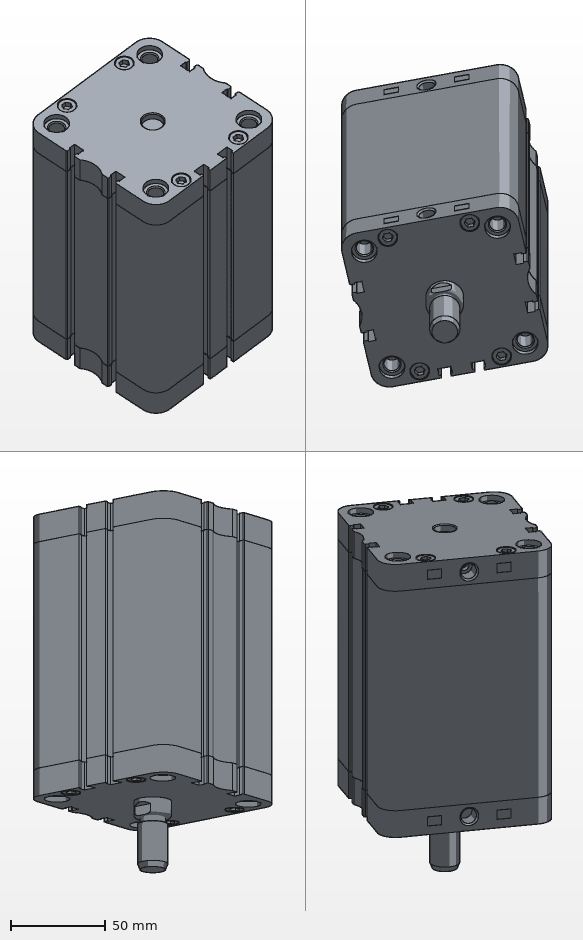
import cadquery as cq
import math

TOTAL_LENGTH = 191.0
BODY_WIDTH = 95.5
BODY_LENGTH = 153.8
CAP_LENGTH = 15.0
CORNER_RADIUS = 10.0
HALF_WIDTH = BODY_WIDTH / 2
BARREL_LENGTH = BODY_LENGTH - 2 * CAP_LENGTH

Y_SLOT_SPACING = 30.0
Y_SLOT_NECK = 5.0
Y_SLOT_WIDTH = 6.5
Y_SLOT_DEPTH = 6.7
Y_SLOT_MOUTH_CHAMFER = 0.5
BARREL_Y_SLOT_LIP = 3.0
CAP_Y_SLOT_LIP = 2.7

X_SLOT_SPACING = 18.0
X_SLOT_NECK = 5.2
X_SLOT_DEPTH = 5.7
BARREL_X_SLOT_WIDTH = 6.5
BARREL_X_SLOT_LIP = 2.0
BARREL_X_SLOT_CORNER_RADIUS = 1.1
CAP_X_SLOT_WIDTH = 7.3
CAP_X_SLOT_LIP = 1.7

CAP_FLUTE_CHORD = 16.0
BARREL_FLUTE_CHORD = 16.8
FLUTE_DEPTH = 2.7
BARREL_FLUTE_EDGE_RADIUS = 1.0

MOUNT_SPACING = 72.0
MOUNT_COUNTERBORE_DIAMETER = 13.5
MOUNT_COUNTERBORE_DEPTH = 3.0
MOUNT_CHAMFER_DIAMETER = 9.7
MOUNT_HOLE_DIAMETER = 8.4
MOUNT_CHAMFER = (MOUNT_CHAMFER_DIAMETER - MOUNT_HOLE_DIAMETER) / 2

BOLT_SPACING_X = 82.9
BOLT_SPACING_Y = 44.3
BOLT_RECESS_DIAMETER = 10.3
BOLT_HEAD_DIAMETER = 9.7
BOLT_HEAD_DROP = 0.4
BOLT_RECESS_DEPTH = 1.5
BOLT_SOCKET_ACROSS_FLATS = 5.0
BOLT_SOCKET_DEPTH = 2.9

CENTRE_HOLE_DIAMETER = 12.0
CENTRE_HOLE_DEPTH = 4.0
CENTRE_HOLE_CHAMFER = 0.5

PORT_DIAMETER = 8.4
PORT_MOUTH_DIAMETER = 10.3
PORT_CHAMFER = (PORT_MOUTH_DIAMETER - PORT_DIAMETER) / 2
PORT_DEPTH = 9.5
PORT_INSET = 8.0
PORT_BLEED_DIAMETER = 5.0
PORT_BLEED_DEPTH = 3.8

PANEL_SPACING = 38.2
PANEL_WIDTH = 7.8
PANEL_HEIGHT = 5.2
PANEL_DEPTH = 0.2
PANEL_INSET = 7.5

ROD_DIAMETER = 20.0
ROD_SHOULDER_LENGTH = 9.0
ROD_SHOULDER_FILLET = 1.7
ROD_NECK_DIAMETER = 13.5
ROD_NECK_LENGTH = 3.5
ROD_NECK_FILLET = 0.4
ROD_THREAD_DIAMETER = 16.0
ROD_TIP_DIAMETER = 13.5
ROD_TIP_LENGTH = 3.0
ROD_LENGTH = TOTAL_LENGTH - BODY_LENGTH
WRENCH_ACROSS_FLATS = 17.0
WRENCH_FLAT_START = 2.1


def t_slot(neck, width, lip, depth, length):
    """T-slot cutter open towards +Y, with its mouth on the XZ plane."""
    throat = cq.Workplane("XY").box(neck, 2 * lip, length, centered=(True, True, False))
    chamber = (
        cq.Workplane("XY")
        .box(width, depth - lip, length, centered=(True, False, False))
        .translate((0, -depth, 0))
    )
    return throat.union(chamber)


def cut_y_side_slots(body, lip, length):
    half_neck = Y_SLOT_NECK / 2
    mouth = (
        cq.Workplane("XY")
        .moveTo(-half_neck - Y_SLOT_MOUTH_CHAMFER, 0)
        .lineTo(half_neck + Y_SLOT_MOUTH_CHAMFER, 0)
        .lineTo(half_neck, -Y_SLOT_MOUTH_CHAMFER)
        .lineTo(-half_neck, -Y_SLOT_MOUTH_CHAMFER)
        .close()
        .extrude(length)
    )
    cutter = t_slot(Y_SLOT_NECK, Y_SLOT_WIDTH, lip, Y_SLOT_DEPTH, length).union(mouth)
    for x in (-Y_SLOT_SPACING / 2, Y_SLOT_SPACING / 2):
        slot = cutter.translate((x, HALF_WIDTH, 0))
        body = body.cut(slot).cut(slot.mirror("XZ"))
    return body


def cut_x_side_slots(body, slot):
    cutter = slot.rotate((0, 0, 0), (0, 0, 1), -90)
    for y in (-X_SLOT_SPACING / 2, X_SLOT_SPACING / 2):
        body = body.cut(cutter.translate((HALF_WIDTH, y, 0)))
    return body


def cut_flutes(body, chord, length):
    half_chord = chord / 2
    flute = (
        cq.Workplane("XY")
        .moveTo(-half_chord, HALF_WIDTH)
        .threePointArc((0, HALF_WIDTH - FLUTE_DEPTH), (half_chord, HALF_WIDTH))
        .close()
        .extrude(length)
    )
    return body.cut(flute).cut(flute.mirror("XZ"))


def make_rounded_block(length):
    return (
        cq.Workplane("XY")
        .box(BODY_WIDTH, BODY_WIDTH, length, centered=(True, True, False))
        .edges("|Z")
        .fillet(CORNER_RADIUS)
    )


def cut_mounting_holes(cap):
    corners = cq.Workplane("XY").rect(MOUNT_SPACING, MOUNT_SPACING, forConstruction=True).vertices()
    hole_profile = (
        cq.Workplane("XZ")
        .moveTo(0, 0)
        .lineTo(MOUNT_HOLE_DIAMETER / 2, 0)
        .lineTo(MOUNT_HOLE_DIAMETER / 2, CAP_LENGTH - MOUNT_COUNTERBORE_DEPTH - MOUNT_CHAMFER)
        .lineTo(MOUNT_CHAMFER_DIAMETER / 2, CAP_LENGTH - MOUNT_COUNTERBORE_DEPTH)
        .lineTo(MOUNT_COUNTERBORE_DIAMETER / 2, CAP_LENGTH - MOUNT_COUNTERBORE_DEPTH)
        .lineTo(MOUNT_COUNTERBORE_DIAMETER / 2, CAP_LENGTH)
        .lineTo(0, CAP_LENGTH)
        .close()
    )
    hole = hole_profile.revolve(360, (0, 0, 0), (0, 1, 0)).val()
    return cap.cut(corners.eachpoint(lambda place: hole.moved(place)))


def cut_bolt_heads(cap):
    """Leave each bolt head as a sunken disc with a hexagon socket inside a narrow ring."""
    socket_corner_diameter = BOLT_SOCKET_ACROSS_FLATS / math.cos(math.pi / 6)
    recess = (
        cq.Workplane("XY", origin=(0, 0, CAP_LENGTH))
        .circle(BOLT_RECESS_DIAMETER / 2)
        .extrude(-BOLT_RECESS_DEPTH)
    )
    head = (
        cq.Workplane("XY", origin=(0, 0, CAP_LENGTH - BOLT_RECESS_DEPTH))
        .circle(BOLT_HEAD_DIAMETER / 2)
        .extrude(BOLT_RECESS_DEPTH - BOLT_HEAD_DROP)
    )
    socket = (
        cq.Workplane("XY", origin=(0, 0, CAP_LENGTH))
        .polygon(6, socket_corner_diameter)
        .extrude(-BOLT_HEAD_DROP - BOLT_SOCKET_DEPTH)
        .rotate((0, 0, 0), (0, 0, 1), 90)
    )
    cutter = recess.cut(head).union(socket).val()
    places = cq.Workplane("XY").rect(BOLT_SPACING_X, BOLT_SPACING_Y, forConstruction=True).vertices()
    return cap.cut(places.eachpoint(lambda place: cutter.moved(place)))


def cut_port(cap):
    port = (
        cq.Workplane("YZ", origin=(-HALF_WIDTH, 0, CAP_LENGTH - PORT_INSET))
        .circle(PORT_DIAMETER / 2)
        .extrude(PORT_DEPTH)
    )
    mouth = cq.Workplane(
        cq.Solid.makeCone(
            PORT_MOUTH_DIAMETER / 2,
            PORT_DIAMETER / 2,
            PORT_CHAMFER,
            cq.Vector(-HALF_WIDTH, 0, CAP_LENGTH - PORT_INSET),
            cq.Vector(1, 0, 0),
        )
    )
    return cap.cut(port.union(mouth))


def cut_marking_panels(cap):
    panels = (
        cq.Workplane("YZ", origin=(-HALF_WIDTH, 0, CAP_LENGTH - PANEL_INSET))
        .pushPoints([(-PANEL_SPACING / 2, 0), (PANEL_SPACING / 2, 0)])
        .rect(PANEL_WIDTH, PANEL_HEIGHT)
        .extrude(PANEL_DEPTH)
    )
    return cap.cut(panels)


def make_cap():
    """Cap with its outer face at Z = CAP_LENGTH and its inner face at Z = 0."""
    x_slot = t_slot(X_SLOT_NECK, CAP_X_SLOT_WIDTH, CAP_X_SLOT_LIP, X_SLOT_DEPTH, CAP_LENGTH)
    cap = make_rounded_block(CAP_LENGTH)
    cap = cut_flutes(cap, CAP_FLUTE_CHORD, CAP_LENGTH)
    cap = cut_y_side_slots(cap, CAP_Y_SLOT_LIP, CAP_LENGTH)
    cap = cut_x_side_slots(cap, x_slot)
    cap = cut_mounting_holes(cap)
    cap = cut_bolt_heads(cap)
    cap = cut_port(cap)
    return cut_marking_panels(cap)


def make_rear_cap():
    cap = make_cap()
    centre_hole = (
        cq.Workplane("XY", origin=(0, 0, CAP_LENGTH))
        .circle(CENTRE_HOLE_DIAMETER / 2)
        .extrude(-CENTRE_HOLE_DEPTH)
    )
    centre_chamfer = cq.Workplane(
        cq.Solid.makeCone(
            CENTRE_HOLE_DIAMETER / 2 + CENTRE_HOLE_CHAMFER,
            CENTRE_HOLE_DIAMETER / 2,
            CENTRE_HOLE_CHAMFER,
            cq.Vector(0, 0, CAP_LENGTH),
            cq.Vector(0, 0, -1),
        )
    )
    bleed = (
        cq.Workplane("YZ", origin=(PORT_DEPTH - HALF_WIDTH, 0, CAP_LENGTH - PORT_INSET))
        .circle(PORT_BLEED_DIAMETER / 2)
        .extrude(PORT_BLEED_DEPTH)
    )
    cap = cap.cut(centre_hole).cut(centre_chamfer).cut(bleed)
    return cap.translate((0, 0, BODY_LENGTH - CAP_LENGTH))


def make_front_cap():
    return make_cap().mirror("XY").translate((0, 0, CAP_LENGTH))


def make_barrel():
    x_slot = t_slot(X_SLOT_NECK, BARREL_X_SLOT_WIDTH, BARREL_X_SLOT_LIP, X_SLOT_DEPTH, BARREL_LENGTH)
    x_slot = x_slot.faces("<Y").edges("|Z").fillet(BARREL_X_SLOT_CORNER_RADIUS)
    barrel = make_rounded_block(BARREL_LENGTH)
    barrel = cut_flutes(barrel, BARREL_FLUTE_CHORD, BARREL_LENGTH)
    barrel = cut_y_side_slots(barrel, BARREL_Y_SLOT_LIP, BARREL_LENGTH)
    barrel = cut_x_side_slots(barrel, x_slot)
    half_chord = BARREL_FLUTE_CHORD / 2
    for y in (-HALF_WIDTH, HALF_WIDTH):
        for x in (-half_chord, half_chord):
            flute_edge = cq.selectors.NearestToPointSelector((x, y, BARREL_LENGTH / 2))
            barrel = barrel.edges("|Z").edges(flute_edge).fillet(BARREL_FLUTE_EDGE_RADIUS)
    return barrel.translate((0, 0, CAP_LENGTH))


def make_rod():
    """Shouldered rod end hanging from the front cap along -Z."""
    rod_radius = ROD_DIAMETER / 2
    neck_radius = ROD_NECK_DIAMETER / 2
    thread_radius = ROD_THREAD_DIAMETER / 2
    thread_top = -ROD_SHOULDER_LENGTH - ROD_NECK_LENGTH
    rod = (
        cq.Workplane("XZ")
        .moveTo(0, 0)
        .lineTo(rod_radius, 0)
        .lineTo(rod_radius, ROD_SHOULDER_FILLET - ROD_SHOULDER_LENGTH)
        .radiusArc((rod_radius - ROD_SHOULDER_FILLET, -ROD_SHOULDER_LENGTH), ROD_SHOULDER_FILLET)
        .lineTo(neck_radius + ROD_NECK_FILLET, -ROD_SHOULDER_LENGTH)
        .radiusArc((neck_radius, -ROD_SHOULDER_LENGTH - ROD_NECK_FILLET), -ROD_NECK_FILLET)
        .lineTo(neck_radius, thread_top + ROD_NECK_FILLET)
        .radiusArc((neck_radius + ROD_NECK_FILLET, thread_top), -ROD_NECK_FILLET)
        .lineTo(thread_radius, thread_top)
        .lineTo(thread_radius, ROD_TIP_LENGTH - ROD_LENGTH)
        .lineTo(ROD_TIP_DIAMETER / 2, -ROD_LENGTH)
        .lineTo(0, -ROD_LENGTH)
        .close()
        .revolve(360, (0, 0, 0), (0, 1, 0))
    )
    return cut_wrench_flats(rod)


def cut_wrench_flats(rod):
    """Two flats facing -X and +X, each running out to the shoulder at 45 degrees."""
    flat_x = WRENCH_ACROSS_FLATS / 2
    run_out = ROD_DIAMETER / 2 - flat_x
    flat = (
        cq.Workplane("XZ")
        .moveTo(flat_x, -ROD_SHOULDER_LENGTH)
        .lineTo(flat_x, -WRENCH_FLAT_START - run_out)
        .lineTo(flat_x + run_out, -WRENCH_FLAT_START)
        .lineTo(flat_x + run_out, -ROD_SHOULDER_LENGTH)
        .close()
        .extrude(ROD_DIAMETER / 2, both=True)
    )
    return rod.cut(flat).cut(flat.mirror("YZ"))


rear_cap = make_rear_cap()
barrel = make_barrel()
front_cap = make_front_cap()
piston_rod = make_rod()

result = cq.Compound.makeCompound([rear_cap.val(), barrel.val(), front_cap.val(), piston_rod.val()])